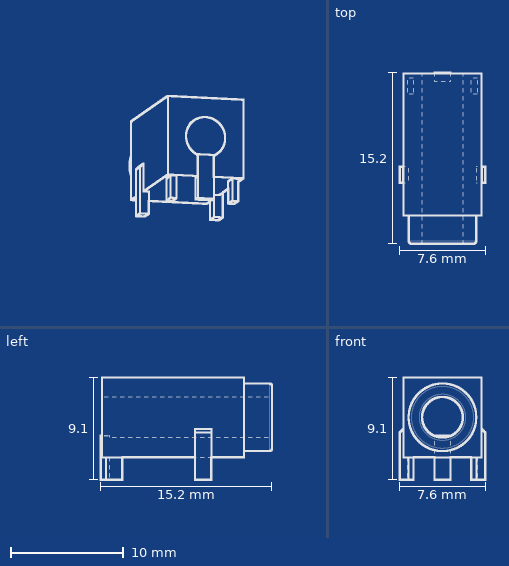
import cadquery as cq

BODY_WIDTH = 6.95
BODY_LENGTH = 12.6
BODY_HEIGHT = 7.1

BARREL_DIAMETER = 6.0
BARREL_LENGTH = 2.5
BORE_DIAMETER = 3.6
BARREL_RIM_RADIUS = 0.25
AXIS_HEIGHT = BODY_HEIGHT / 2

LEG_WIDTH = 1.45
LEG_DROP = 2.0

SIDE_LEG_THICKNESS = 0.8
SIDE_LEG_SPAN = 7.6
SIDE_LEG_TOP = 2.5
SIDE_LEG_CHAMFER = 0.3
SIDE_LEG_FRONT = 2.9

REAR_PIN_THICKNESS = 0.55
REAR_PIN_INNER_X = 2.55
REAR_PIN_INSET = 0.38

CENTRE_LEG_THICKNESS = 0.8
CENTRE_LEG_PROUD = 0.1
CENTRE_LEG_TOP = 1.95


def block(x_min, y_min, z_min, x_size, y_size, z_size):
    """Axis-aligned box given by its lowest corner and its sizes."""
    return cq.Workplane("XY").box(x_size, y_size, z_size, centered=False).translate((x_min, y_min, z_min))


def make_housing():
    """Block and barrel with one through bore, both edges of the barrel rim rounded."""
    body = block(-BODY_WIDTH / 2, 0, 0, BODY_WIDTH, BODY_LENGTH, BODY_HEIGHT)
    barrel_axis = cq.Workplane("XZ").center(0, AXIS_HEIGHT)
    barrel = barrel_axis.circle(BARREL_DIAMETER / 2).extrude(BARREL_LENGTH)
    bore = (
        cq.Workplane("XZ", origin=(0, -BARREL_LENGTH, AXIS_HEIGHT))
        .circle(BORE_DIAMETER / 2)
        .extrude(-(BARREL_LENGTH + BODY_LENGTH))
    )
    return body.union(barrel).cut(bore).faces("<Y").edges().fillet(BARREL_RIM_RADIUS)


def make_side_leg():
    """Left front leg with its outer top edge chamfered."""
    leg = block(
        -SIDE_LEG_SPAN / 2, SIDE_LEG_FRONT, -LEG_DROP,
        SIDE_LEG_THICKNESS, LEG_WIDTH, SIDE_LEG_TOP + LEG_DROP,
    )
    return leg.faces("<X").edges(">Z").chamfer(SIDE_LEG_CHAMFER)


def make_rear_pin():
    """Left rear pin, ending at the housing floor."""
    return block(
        -REAR_PIN_INNER_X - REAR_PIN_THICKNESS, BODY_LENGTH - REAR_PIN_INSET - LEG_WIDTH, -LEG_DROP,
        REAR_PIN_THICKNESS, LEG_WIDTH, LEG_DROP,
    )


def make_centre_leg():
    """Leg on the centre plane, standing slightly proud of the back wall."""
    return block(
        -LEG_WIDTH / 2, BODY_LENGTH + CENTRE_LEG_PROUD - CENTRE_LEG_THICKNESS, -LEG_DROP,
        LEG_WIDTH, CENTRE_LEG_THICKNESS, CENTRE_LEG_TOP + LEG_DROP,
    )


result = make_housing().union(make_centre_leg())
for left_leg in (make_side_leg(), make_rear_pin()):
    result = result.union(left_leg).union(left_leg.mirror("YZ"))